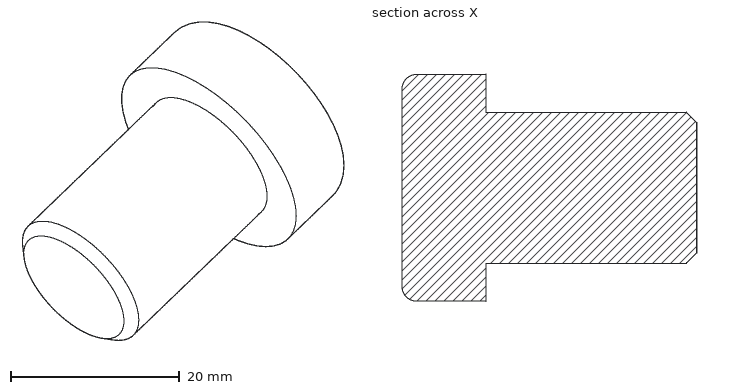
import cadquery as cq

head_diameter = 27.0
head_length = 10.0
shank_diameter = 18.0
shank_length = 25.0
head_rim_radius = 1.8
tip_chamfer = 1.25


def make_head():
    """Round head from the shoulder plane at Y = 0 towards +Y, with a rounded back rim."""
    head = cq.Workplane("XZ").circle(head_diameter / 2).extrude(-head_length)
    return head.faces(">Y").edges().fillet(head_rim_radius)


def make_shank():
    """Round shank from the shoulder plane towards -Y, with a chamfered tip."""
    shank = cq.Workplane("XZ").circle(shank_diameter / 2).extrude(shank_length)
    return shank.faces("<Y").edges().chamfer(tip_chamfer)


result = make_head().union(make_shank())